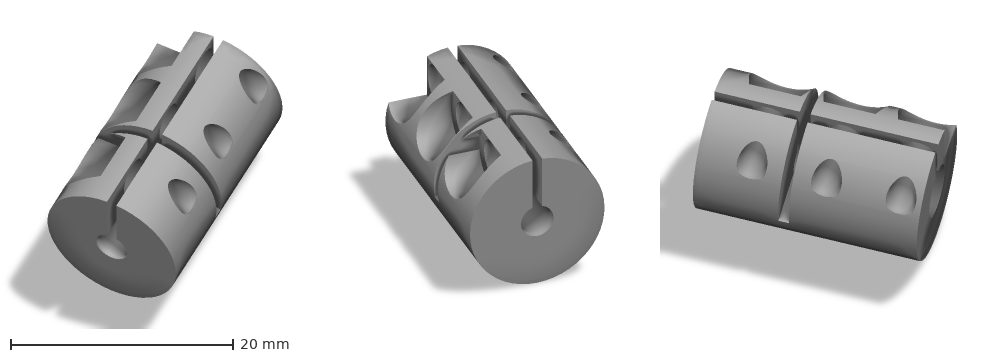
import cadquery as cq
import math

length = 21.0
body_diameter = 13.0
small_bore_diameter = 3.13
large_bore_diameter = 5.0
body_radius = body_diameter / 2

clamp_slit_width = 0.95
cross_slit_width = 1.0
cross_slit_center_y = -2.0
cross_slit_floor_slope = 10.0

screw_z = 4.26
screw_pitch = 7.0
middle_screw_y = 1.58
screw_positions_y = [middle_screw_y + step * screw_pitch for step in (-1, 0, 1)]
head_diameter = 6.0
head_seat_x = -2.48
clearance_diameter = 3.49
tapped_diameter = 2.8
tapped_end_x = 5.44

cut_reach = body_diameter


def cylinder_along_x(diameter, start_x, end_x, y):
    direction = cq.Vector(1, 0, 0)
    return cq.Solid.makeCylinder(diameter / 2, end_x - start_x, cq.Vector(start_x, y, screw_z), direction)


def make_body():
    """Cylinder bored for a thin shaft at -Y and a thicker shaft at +Y."""
    large_bore_start_y = cross_slit_center_y + cross_slit_width / 2
    large_bore = (
        cq.Workplane("XZ", origin=(0, large_bore_start_y, 0))
        .circle(large_bore_diameter / 2)
        .extrude(-cut_reach)
    )
    return (
        cq.Workplane("XZ")
        .circle(body_radius)
        .circle(small_bore_diameter / 2)
        .extrude(length / 2, both=True)
        .cut(large_bore)
    )


def make_clamp_slit():
    """Lengthwise slit from the bore up through the top."""
    return cq.Workplane("XY").rect(clamp_slit_width, length).extrude(cut_reach)


def make_cross_slit():
    """Slit across the body whose floor falls away on both sides of the bore axis."""
    floor_drop = cut_reach * math.tan(math.radians(cross_slit_floor_slope))
    return (
        cq.Workplane("XZ", origin=(0, cross_slit_center_y, 0))
        .polyline([
            (0, 0),
            (cut_reach, -floor_drop),
            (cut_reach, cut_reach),
            (-cut_reach, cut_reach),
            (-cut_reach, -floor_drop),
        ])
        .close()
        .extrude(cross_slit_width / 2, both=True)
    )


def cut_screw_hole(part, y):
    """Head recess and clearance hole on -X, tapped hole with a drill tip on +X."""
    tapped_radius = tapped_diameter / 2
    tip_base = cq.Vector(tapped_end_x, y, screw_z)
    tip = cq.Solid.makeCone(tapped_radius, 0, tapped_radius, tip_base, cq.Vector(1, 0, 0))
    return (
        part.cut(cylinder_along_x(head_diameter, -cut_reach, head_seat_x, y))
        .cut(cylinder_along_x(clearance_diameter, head_seat_x, 0, y))
        .cut(cylinder_along_x(tapped_diameter, 0, tapped_end_x, y))
        .cut(tip)
    )


result = make_body().cut(make_clamp_slit()).cut(make_cross_slit())
for screw_y in screw_positions_y:
    result = cut_screw_hole(result, screw_y)